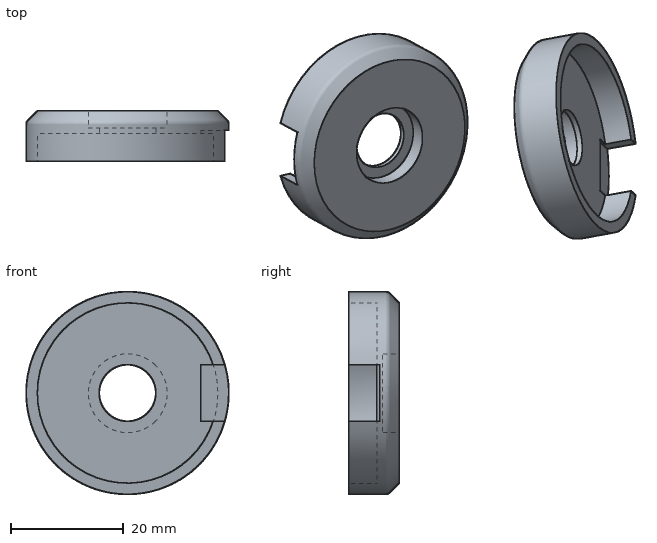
import cadquery as cq

outer_diameter = 36.0
height = 9.0
wall_thickness = 2.0
floor_thickness = 4.0
back_chamfer = 2.0
chamfer_blend_radius = 1.0

hole_diameter = 10.0
counterbore_diameter = 14.0
counterbore_depth = 3.0

notch_width = 10.0
notch_inner_x = 13.0
notch_floor_recess = 0.5

outer_radius = outer_diameter / 2
back_y = height / 2
front_y = -height / 2
floor_y = back_y - floor_thickness


def disc(diameter, start_y, end_y):
    """Solid cylinder on the Y axis between two Y positions."""
    plane = cq.Plane(origin=(0, start_y, 0), xDir=(1, 0, 0), normal=(0, 1, 0))
    return cq.Workplane(plane).circle(diameter / 2).extrude(end_y - start_y)


def make_body():
    """Disc with a chamfered back rim, blended softly into the side wall."""
    body = disc(outer_diameter, front_y, back_y)
    body = body.faces(">Y").edges().chamfer(back_chamfer)
    shoulder_point = (0, back_y - back_chamfer, 0)
    shoulder = cq.selectors.NearestToPointSelector(shoulder_point)
    return body.edges("%CIRCLE").edges(shoulder).fillet(chamfer_blend_radius)


def make_cavity():
    """Round pocket open to the front."""
    return disc(outer_diameter - 2 * wall_thickness, front_y, floor_y)


def make_hole():
    """Central through hole with a counterbore on the back."""
    hole = disc(hole_diameter, front_y, back_y)
    counterbore = disc(counterbore_diameter, back_y - counterbore_depth, back_y)
    return hole.union(counterbore)


def make_notch():
    """Rectangular gap through the +X wall, cut slightly into the floor."""
    length_x = outer_radius - notch_inner_x
    depth_y = floor_y + notch_floor_recess - front_y
    return (
        cq.Workplane("XY")
        .box(length_x, depth_y, notch_width, centered=(False, False, True))
        .translate((notch_inner_x, front_y, 0))
    )


result = make_body().cut(make_cavity()).cut(make_hole()).cut(make_notch())